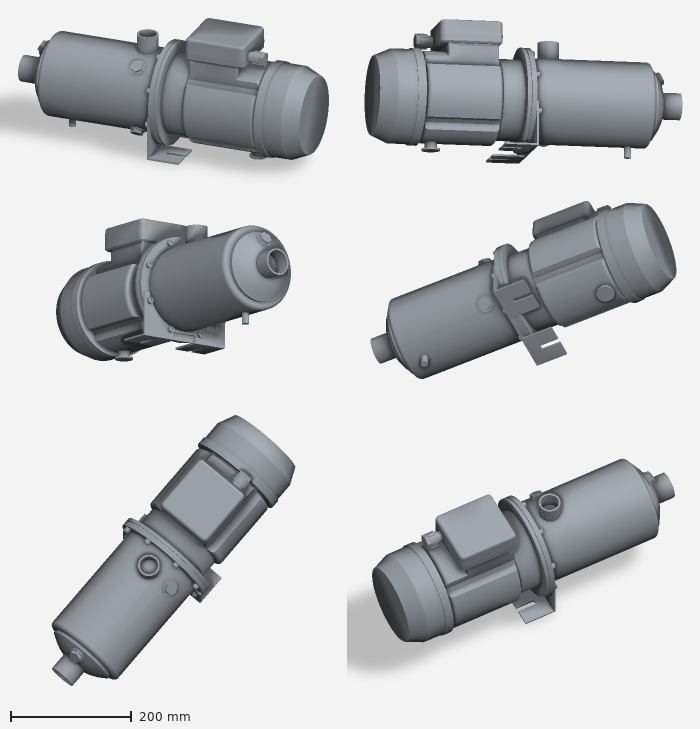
import cadquery as cq
import math

total_length = 520.0
total_height = 214.5
base_z = -90.0
fit_depth = 5.0

casing_radius = 143.0 / 2
casing_front_x = 53.5
casing_edge_radius = 6.0
collar_radius = 59.0
dome_edge_radius = 116.0 / 2
collar_x = 48.0
dome_start_x = 30.5
inlet_radius = 22.5
inlet_bore_radius = 39.0 / 2
dome_center_x = 120.5
dome_radius = math.hypot(dome_center_x - collar_x, dome_edge_radius)

outlet_x = 222.5
outlet_radius = 36.0 / 2
outlet_bore_radius = 15.0
outlet_top_z = 99.5

drain_x = 88.5
drain_radius = 12.0 / 2

flange_radius = 176.5 / 2
casing_flange_x = 258.5
casing_flange_thickness = 8.5
flange_joint_x = casing_flange_x + casing_flange_thickness
joint_gap = 1.5
joint_radius = 86.0
motor_flange_thickness = 5.5
bolt_count = 8
bolt_circle_radius = 80.0
bolt_head_radius = 10.0 / 2
bolt_head_height = 6.0
bolt_socket_corners = 7.0
bolt_socket_depth = 3.0

sheet = 3.0
bracket_width = 167.5
bracket_top_z = -15.0
bracket_cutout_radius = 74.5
bracket_window_width = 46.5
bracket_window_top_z = -77.0
foot_end_x = 311.0
foot_slot_y = 53.0
foot_slot_width = 8.0
foot_slot_length = 34.0
bracket_x = casing_flange_x - sheet

plug_collar_radius = 27.5 / 2
plug_collar_height = 1.5
plug_flange_radius = 12.0
plug_flange_height = 3.0
plug_hex_flats = 19.0
plug_height = 8.0
plug_turn = 30.0
plug_thread_radius = 17.0 / 2
plug_thread_depth = 8.0
side_plug_angle = 51.0
dome_plug_angle = 28.0

adaptor_radius = 68.0
adaptor_end_x = 311.0
neck_radius = 65.0
frame_start_x = 314.0
frame_end_x = 440.0
panel_radius = 77.0
panel_half_width = 44.5
panel_end_fillet = 5.5
core_half_width = 50.5
cover_start_x = 444.0
motor_foot_x = 421.5
motor_foot_radius = 20.5 / 2
motor_foot_pad_radius = 15.0
pedestal_end_x = 400.0
pedestal_corner_radius = 3.0
pedestal_rim_height = 4.0
pedestal_rim_width = 86.5

cover_rim_radius = 81.0
cover_rim_length = 14.0
cover_radius = 79.0
cover_taper_x = 492.0
cover_end_radius = 66.5

box_start_x = 308.0
box_end_x = 414.0
box_width = 99.5
box_bottom_z = 85.5
box_top_z = base_z + total_height
box_split_z = 99.0
box_draft = 2.0
box_corner_radius = 8.5
box_top_fillet = 4.5
box_bottom_chamfer = 3.0
gland_y = -25.0
gland_z = 99.0
gland_neck_radius = 17.0 / 2
gland_neck_end_x = 417.0
gland_washer_radius = 10.0
gland_washer_end_x = 419.0
gland_collar_radius = 10.5
gland_nut_x = 423.5
gland_nut_radius = 12.0
gland_rib_count = 6
gland_rib_radius = 13.0
gland_rib_width = 2.5
gland_cap_x = 436.5
gland_end_x = 443.0


def cylinder_x(radius, start_x, end_x, y=0.0, z=0.0):
    """Cylinder parallel to X between two X positions."""
    plane = cq.Workplane("YZ", origin=(start_x, y, z))
    return plane.circle(radius).extrude(end_x - start_x)


def hexagon_x(corners, start_x, end_x, y, z):
    """Hexagonal bar parallel to X with a corner pointing up."""
    plane = cq.Plane(origin=(start_x, y, z), xDir=(0, 0, 1), normal=(1, 0, 0))
    return cq.Workplane(plane).polygon(6, corners).extrude(end_x - start_x)


def block(x0, x1, y0, y1, z0, z1):
    """Box given by its limits along each axis."""
    return cq.Workplane("XY").box(x1 - x0, y1 - y0, z1 - z0, centered=False).translate((x0, y0, z0))


def cylinder_z(radius, x, z0, z1):
    """Vertical cylinder above or below the pump axis."""
    return cq.Workplane("XY", origin=(x, 0, z0)).circle(radius).extrude(z1 - z0)


def bolt_centers():
    """Y and Z of each flange bolt, evenly spaced and straddling the axes."""
    step = 2 * math.pi / bolt_count
    angles = [(i + 0.5) * step for i in range(bolt_count)]
    return [(bolt_circle_radius * math.cos(a), bolt_circle_radius * math.sin(a)) for a in angles]


def plug_planes():
    """Planes lying where the plugs are seated, with their normals pointing out of the casing."""
    side = math.radians(side_plug_angle)
    dome = math.radians(dome_plug_angle)
    planes = []
    for sign in (1, -1):
        normal = (0, -math.cos(side), sign * math.sin(side))
        seat = (outlet_x, casing_radius * normal[1], casing_radius * normal[2])
        planes.append(cq.Plane(origin=seat, xDir=(1, 0, 0), normal=normal))
    normal = (-math.cos(dome), 0, math.sin(dome))
    seat = (dome_center_x + dome_radius * normal[0], 0, dome_radius * normal[2])
    planes.append(cq.Plane(origin=seat, xDir=(0, 1, 0), normal=normal))
    return planes


def make_plug(plane):
    """Hexagon plug with a stepped round collar and a threaded end let into the casing."""
    thread = cq.Workplane(plane).circle(plug_thread_radius).extrude(-plug_thread_depth)
    collar = cq.Workplane(plane).circle(plug_collar_radius).extrude(plug_collar_height)
    flange = cq.Workplane(plane).circle(plug_flange_radius).extrude(plug_flange_height)
    hex_corners = plug_hex_flats / math.cos(math.pi / 6)
    head_plane = cq.Workplane(plane).transformed(rotate=(0, 0, plug_turn))
    head = head_plane.polygon(6, hex_corners).extrude(plug_height)
    return thread.union(collar).union(flange).union(head)


def make_casing():
    """Pump casing with domed end, pipe stubs, flange and the bolts that hold it."""
    dome_mid_radius = (inlet_radius + dome_edge_radius) / 2
    dome_mid_x = dome_center_x - math.sqrt(dome_radius**2 - dome_mid_radius**2)
    profile = (
        cq.Workplane("XY")
        .moveTo(dome_start_x, 0)
        .lineTo(dome_center_x - math.sqrt(dome_radius**2 - inlet_radius**2), inlet_radius)
        .threePointArc((dome_mid_x, dome_mid_radius), (collar_x, dome_edge_radius))
        .lineTo(collar_x, collar_radius)
        .lineTo(casing_front_x, collar_radius)
        .lineTo(casing_front_x, casing_radius - casing_edge_radius)
        .radiusArc((casing_front_x + casing_edge_radius, casing_radius), casing_edge_radius)
        .lineTo(casing_flange_x, casing_radius)
        .lineTo(casing_flange_x, flange_radius)
        .lineTo(flange_joint_x, flange_radius)
        .lineTo(flange_joint_x, 0)
        .close()
    )
    body = profile.revolve(360, (0, 0, 0), (1, 0, 0))
    inlet = cylinder_x(inlet_radius, 0, dome_start_x + fit_depth)
    inlet_bore = cylinder_x(inlet_bore_radius, 0, dome_start_x)
    body = body.union(inlet).cut(inlet_bore)

    outlet = cylinder_z(outlet_radius, outlet_x, 0, outlet_top_z)
    outlet_bore = cylinder_z(outlet_bore_radius, outlet_x, 0, outlet_top_z)
    barrel = cylinder_x(casing_radius, outlet_x - 2 * outlet_radius, outlet_x + 2 * outlet_radius)
    body = body.union(outlet.cut(outlet_bore.cut(barrel)))
    body = body.union(cylinder_z(drain_radius, drain_x, base_z, 0))

    for y, z in bolt_centers():
        seat_x = casing_flange_x if z > bracket_top_z else bracket_x
        head_x = seat_x - bolt_head_height
        bolt = cylinder_x(bolt_head_radius, head_x, casing_flange_x + fit_depth, y, z)
        socket = hexagon_x(bolt_socket_corners, head_x, head_x + bolt_socket_depth, y, z)
        body = body.union(bolt).cut(socket)
    return body


def make_bracket():
    """Angled sheet-metal bracket that carries the pump at the flange."""
    half = bracket_width / 2
    plate = block(bracket_x, casing_flange_x, -half, half, base_z, bracket_top_z)
    plate = plate.cut(cylinder_x(bracket_cutout_radius, bracket_x, casing_flange_x))
    foot = block(bracket_x, foot_end_x, -half, half, base_z, base_z + sheet)
    bracket = plate.union(foot)
    window_half = bracket_window_width / 2
    window = block(
        bracket_x, casing_flange_x, -window_half, window_half, base_z + sheet, bracket_window_top_z
    )
    foot_gap = block(casing_flange_x, foot_end_x, -window_half, window_half, base_z, base_z + sheet)
    bracket = bracket.cut(window).cut(foot_gap)

    for side in (1, -1):
        slot = (
            cq.Workplane("XY", origin=(foot_end_x, side * foot_slot_y, base_z))
            .slot2D(2 * foot_slot_length, foot_slot_width)
            .extrude(sheet)
        )
        bracket = bracket.cut(slot)
    for y, z in bolt_centers():
        bracket = bracket.cut(cylinder_x(bolt_head_radius, bracket_x, casing_flange_x, y, z))
    return bracket


def pedestal_block(width, z0, z1):
    """Block under the terminal box with rounded upright corners."""
    pedestal = block(frame_start_x, pedestal_end_x, -width / 2, width / 2, z0, z1)
    return pedestal.edges("|Z").fillet(pedestal_corner_radius)


def make_motor():
    """Motor with flange, adaptor, panelled frame, box pedestal and rear foot."""
    rim_x = flange_joint_x + joint_gap
    adaptor_start_x = rim_x + motor_flange_thickness
    motor = cylinder_x(joint_radius, flange_joint_x, rim_x)
    motor = motor.union(cylinder_x(flange_radius, rim_x, adaptor_start_x))
    motor = motor.union(cylinder_x(adaptor_radius, adaptor_start_x, adaptor_end_x))
    motor = motor.union(cylinder_x(neck_radius, adaptor_end_x, cover_start_x))

    length = frame_end_x - frame_start_x
    mid_x = (frame_start_x + frame_end_x) / 2
    frame = cylinder_x(panel_radius, frame_start_x, frame_end_x).edges().fillet(panel_end_fillet)
    wide = cq.Workplane("XY").box(length, 2 * panel_radius, 2 * panel_half_width)
    tall = cq.Workplane("XY").box(length, 2 * panel_half_width, 2 * panel_radius)
    core = block(
        frame_start_x, cover_start_x, -core_half_width, core_half_width, -core_half_width, core_half_width
    )
    core = core.edges("|X").chamfer(core_half_width - panel_half_width)
    cross = wide.union(tall).translate((mid_x, 0, 0))
    motor = motor.union(frame.intersect(cross)).union(core)

    rim_z = box_bottom_z - pedestal_rim_height
    motor = motor.union(pedestal_block(2 * panel_half_width, 0, rim_z))
    motor = motor.union(pedestal_block(pedestal_rim_width, rim_z, box_bottom_z))

    motor = motor.union(cylinder_z(motor_foot_radius, motor_foot_x, base_z, 0))
    return motor.union(cylinder_z(motor_foot_pad_radius, motor_foot_x, base_z, base_z + sheet))


def make_fan_cover():
    """Round cover at the rear of the motor, tapering to its end."""
    rim_end_x = cover_start_x + cover_rim_length
    profile = (
        cq.Workplane("XY")
        .moveTo(cover_start_x, 0)
        .lineTo(cover_start_x, cover_rim_radius)
        .lineTo(rim_end_x, cover_rim_radius)
        .lineTo(rim_end_x, cover_radius)
        .lineTo(cover_taper_x, cover_radius)
        .lineTo(total_length, cover_end_radius)
        .lineTo(total_length, 0)
        .close()
    )
    return profile.revolve(360, (0, 0, 0), (1, 0, 0))


def box_half(end_z):
    """Drafted half of the terminal box, from the split level to the given level."""
    outline = (
        cq.Sketch()
        .rect(box_end_x - box_start_x, box_width)
        .vertices()
        .fillet(box_corner_radius)
    )
    center = ((box_start_x + box_end_x) / 2, 0, box_split_z)
    direction = 1 if end_z > box_split_z else -1
    plane = cq.Plane(origin=center, xDir=(1, 0, 0), normal=(0, 0, direction))
    return cq.Workplane(plane).placeSketch(outline).extrude(abs(end_z - box_split_z), taper=box_draft)


def make_terminal_box():
    """Terminal box with rounded lid and a cable gland on its rear wall."""
    box = box_half(box_bottom_z).faces("<Z").chamfer(box_bottom_chamfer)
    lid = box_half(box_top_z).faces(">Z").edges().fillet(box_top_fillet)
    box = box.union(lid)

    neck = cylinder_x(gland_neck_radius, box_end_x - fit_depth, gland_neck_end_x, gland_y, gland_z)
    washer = cylinder_x(gland_washer_radius, gland_neck_end_x, gland_washer_end_x, gland_y, gland_z)
    collar = cylinder_x(gland_collar_radius, gland_washer_end_x, gland_nut_x, gland_y, gland_z)
    nut = cylinder_x(gland_nut_radius, gland_nut_x, gland_cap_x, gland_y, gland_z)
    gland = neck.union(washer).union(collar).union(nut)
    for i in range(gland_rib_count):
        rib = block(
            gland_nut_x, gland_cap_x, -gland_rib_width / 2, gland_rib_width / 2, 0, gland_rib_radius
        )
        rib = rib.rotate((0, 0, 0), (1, 0, 0), i * 360 / gland_rib_count)
        gland = gland.union(rib.translate((0, gland_y, gland_z)))
    cap = hexagon_x(2 * gland_rib_radius, gland_cap_x, gland_end_x, gland_y, gland_z)
    return box.union(gland.union(cap))


plugs = [make_plug(plane) for plane in plug_planes()]
casing = make_casing()
for plug in plugs:
    casing = casing.cut(plug)
bracket = make_bracket()
motor = make_motor()
fan_cover = make_fan_cover()
terminal_box = make_terminal_box()

result = cq.Compound.makeCompound(
    [
        casing.val(),
        *[plug.val() for plug in plugs],
        bracket.val(),
        motor.val(),
        fan_cover.val(),
        terminal_box.val(),
    ]
)